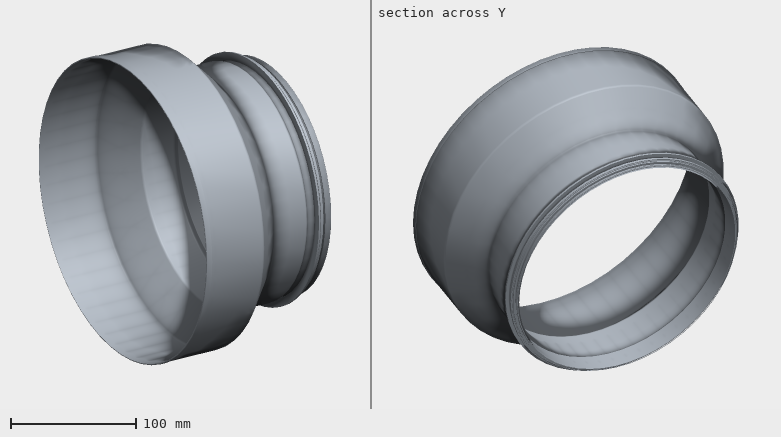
import cadquery as cq
import math

length = 135.0
sheet = 0.5
rim_radius = 126.2
wide_radius = rim_radius - sheet
neck_radius = 99.5
seat_radius = 97.05
wide_end = -length / 2
narrow_end = length / 2
rim_top = wide_end + 5.0
rim_round = 0.8
cone_start = wide_end + 53.0
step_start = narrow_end - 24.7
cone_bend = 3.0
step_bend = 2.3
seat_bend = 0.8
slope = math.radians(45)
hem_start = narrow_end - 6.0
hem_round = 1.3

gasket_start = narrow_end - 15.5
gasket_bore = 97.7
sleeve_radius = 99.2
flange_radius = 104.63
flange_thickness = 1.5
lip_y = narrow_end - 10.9
lip_radius = 102.2
lip_width = 2.0
lip_stem = 0.8
lip_tip = 0.5
lip_foot_radius = 101.0
short_lip_radius = 100.5
short_lip_width = 1.0
short_lip_y = narrow_end - 9.0
groove_radius = 98.5


def disc(radius, start_y, end_y):
    """Solid cylinder about the Y axis."""
    return cq.Workplane("XZ", origin=(0, start_y, 0)).circle(radius).extrude(start_y - end_y)


def ring(inner, outer, start_y, end_y):
    """Plain tube about the Y axis."""
    return disc(outer, start_y, end_y).cut(disc(inner, start_y, end_y))


def slope_down(path, big_radius, small_radius, start_y, bend, end_bend, offset):
    """Continue a (radius, y) path from a big to a small radius along two tangent bends.

    The radii belong to the outer sheet surface; the path runs `offset` inside it.
    """
    bends = bend + end_bend
    straight = (big_radius - small_radius - bends * (1 - math.cos(slope))) / math.sin(slope)
    end_y = start_y + bends * math.sin(slope) + straight * math.cos(slope)
    big = big_radius - offset
    small = small_radius - offset
    normal_shift = offset * math.tan(slope / 2)
    first_y = start_y - normal_shift
    last_y = end_y - normal_shift

    def first_bend(angle):
        return (big - bend * (1 - math.cos(angle)), first_y + bend * math.sin(angle))

    def last_bend(angle):
        return (small + end_bend * (1 - math.cos(angle)), last_y - end_bend * math.sin(angle))

    return (
        path.lineTo(big, first_y)
        .threePointArc(first_bend(slope / 2), first_bend(slope))
        .lineTo(*last_bend(slope))
        .threePointArc(last_bend(slope / 2), (small, last_y))
    )


def filled_shell(offset):
    """Solid bounded by the sheet surface that lies `offset` inside the outer one."""
    path = cq.Workplane("XY").moveTo(0, wide_end).lineTo(wide_radius - offset, wide_end)
    path = slope_down(path, wide_radius, neck_radius, cone_start, cone_bend, cone_bend, offset)
    path = slope_down(path, neck_radius, seat_radius, step_start, step_bend, seat_bend, offset)
    path = path.lineTo(seat_radius - offset, narrow_end).lineTo(0, narrow_end).close()
    return path.revolve(360, (0, 0, 0), (0, 1, 0))


def make_rim():
    """Edge of the wide mouth folded back outwards."""
    outside = disc(rim_radius, wide_end, rim_top).faces("<Y").edges().fillet(rim_round)
    return outside.cut(disc(wide_radius - sheet, wide_end, rim_top))


def make_hem():
    """Edge of the narrow mouth folded back outwards."""
    outside = disc(neck_radius, hem_start, narrow_end).faces(">Y").edges().fillet(hem_round)
    bore = disc(seat_radius, hem_start, narrow_end)
    pocket = disc(neck_radius - sheet, hem_start, narrow_end - sheet)
    pocket = pocket.faces(">Y").edges().fillet(hem_round - sheet)
    return outside.cut(bore).cut(pocket)


def make_reducer():
    shell = filled_shell(0).cut(filled_shell(sheet))
    return shell.union(make_rim()).union(make_hem())


def lip_ring(radius, middle_y, width):
    """Full-depth gasket ring centred at middle_y."""
    return ring(gasket_bore, radius, middle_y - width / 2, middle_y + width / 2)


def make_gasket():
    sleeve = ring(gasket_bore, sleeve_radius, gasket_start, short_lip_y)
    tail = ring(gasket_bore, groove_radius, short_lip_y, hem_start)
    flange = ring(gasket_bore, flange_radius, gasket_start, gasket_start + flange_thickness)
    short_lip = lip_ring(short_lip_radius, short_lip_y, short_lip_width)
    foot = lip_ring(lip_foot_radius, lip_y, lip_width)
    stem = lip_ring(lip_radius, lip_y, lip_stem)
    tip = lip_ring(lip_radius, lip_y, lip_width).cut(disc(lip_radius - lip_tip, gasket_start, hem_start))
    return sleeve.union(tail).union(flange).union(short_lip).union(foot).union(stem).union(tip)


reducer = make_reducer()
gasket = make_gasket()
result = cq.Compound.makeCompound([reducer.val(), gasket.val()])